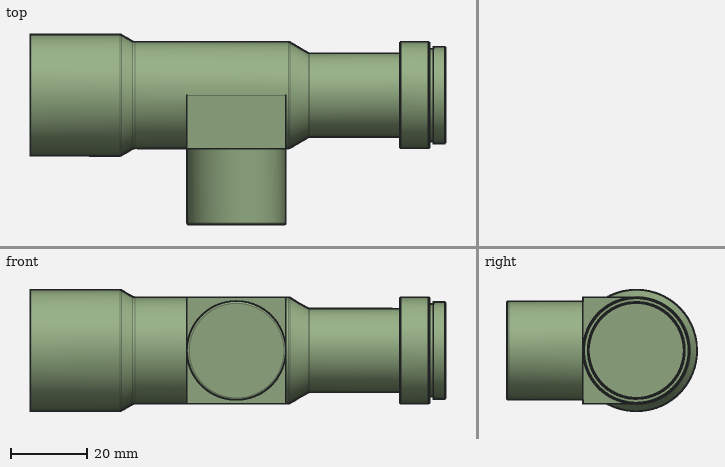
import cadquery as cq

total_length = 109.1
socket_end = 23.7
body_start = 27.1
body_end = 68.0
tail_start = 73.1
collar_start = 97.0
collar_end = 104.8
groove_end = 105.8

socket_diameter = 32.0
body_diameter = 28.0
tail_diameter = 22.0
collar_diameter = body_diameter
groove_diameter = 24.4
end_ring_diameter = 25.5

socket_face_radius = 0.13
socket_shoulder_radius = 0.8
socket_neck_radius = 1.3
reducer_radius = 0.7
collar_chamfer = 0.3
end_chamfer = 0.3
branch_rim_radius = 0.5

branch_x = 54.1
branch_diameter = 26.0
overall_depth = 50.0
branch_reach = overall_depth - socket_diameter / 2
saddle_depth = body_diameter / 2


def cylinder(start, end, diameter):
    """Solid cylinder on the X axis between two stations."""
    return cq.Workplane("YZ", origin=(start, 0, 0)).circle(diameter / 2).extrude(end - start)


def ring_edges(solid, station):
    """Circular edges of the solid lying in the plane at one X station."""
    margin = 0.01
    span = total_length
    return solid.edges(cq.selectors.BoxSelector(
        (station - margin, -span, -span), (station + margin, span, span), boundingbox=True))


def make_stepped_body():
    """Socket, body and tail joined by two blended cones."""
    profile = [
        (0, 0),
        (0, socket_diameter / 2),
        (socket_end, socket_diameter / 2),
        (body_start, body_diameter / 2),
        (body_end, body_diameter / 2),
        (tail_start, tail_diameter / 2),
        (collar_start, tail_diameter / 2),
        (collar_start, 0),
    ]
    run = cq.Workplane("XY").polyline(profile).close().revolve(360, (0, 0, 0), (1, 0, 0))
    blends = [
        (0, socket_face_radius),
        (socket_end, socket_shoulder_radius),
        (body_start, socket_neck_radius),
        (body_end, reducer_radius),
        (tail_start, reducer_radius),
    ]
    for station, radius in blends:
        run = ring_edges(run, station).fillet(radius)
    return run


def make_collar_end():
    """Chamfered collar, narrow groove and chamfered end ring."""
    collar = cylinder(collar_start, collar_end, collar_diameter).edges("%CIRCLE").chamfer(collar_chamfer)
    groove = cylinder(collar_end, groove_end, groove_diameter)
    ring = cylinder(groove_end, total_length, end_ring_diameter).faces(">X").edges().chamfer(end_chamfer)
    return collar.union(groove).union(ring)


def make_branch():
    """Square saddle on the body with the round branch standing on it."""
    saddle = cq.Workplane("XY").box(branch_diameter, saddle_depth, body_diameter)
    saddle = saddle.translate((branch_x, -saddle_depth / 2, 0))
    pipe = cq.Workplane("XZ", origin=(branch_x, 0, 0)).circle(branch_diameter / 2).extrude(branch_reach)
    pipe = pipe.faces("<Y").edges().fillet(branch_rim_radius)
    return saddle.union(pipe)


result = make_stepped_body().union(make_collar_end()).union(make_branch())